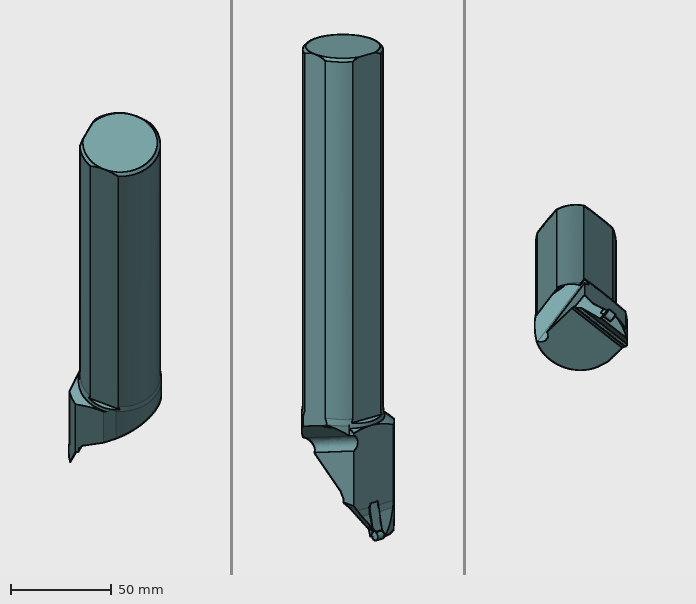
import cadquery as cq
import math

length = 254.0
shank_radius = 20.0
top_chamfer = 1.5
flat_x = 17.8
flat_y = 18.5
flat_bottom = 62.7
runout_slope = 0.3
shank_bottom = 64.8
margin = 12.7

head_radius = 20.5
corner_radius = 25.7
head_x = 20.8
head_y = 21.0
front_face_end = 0.8
back_start = 6.9
head_top = 60.0
shoulder_drop = 2.8
rake_y = 11.2

relief_top = 49.5
relief_heel_x = -10.7
relief_heel_z = 25.5
step_x = -13.0
step_top = 21.8
step_bottom = 19.3

blade_bottom = 1.3
bend_top = 17.3
bend_bottom = 13.7
bend_x = -21.0
blade_tip_x = -25.1
blade_thickness = 5.3
bevel_top = 20.0

gullet_top = 57.2
gullet_depth = 2.5
gullet_height = 8.1
gullet_slope = 0.28

insert_front = -4.8
nose_back = -0.5
body_back = 1.0
insert_top = 19.0
insert_corner = 2.3
insert_depth = 2.5
neck_z = 4.8
nose_radius = 2.3


def prism_y(points, y_start, y_end):
    """Extrude an (x, z) polygon from y_start to y_end."""
    sketch = cq.Workplane("XZ", origin=(0, y_end, 0)).polyline(points).close()
    return sketch.extrude(y_end - y_start)


def prism_x(points, x_start, x_end):
    """Extrude a (y, z) polygon from x_start to x_end."""
    sketch = cq.Workplane("YZ", origin=(x_start, 0, 0)).polyline(points).close()
    return sketch.extrude(x_end - x_start)


def make_shank():
    bar = cq.Workplane("XY").workplane(offset=head_top).circle(shank_radius)
    return bar.extrude(length - head_top).faces(">Z").chamfer(top_chamfer)


def blade_face_x(z):
    """X of the leaning outer blade face at height z, below the bend."""
    lean = (blade_tip_x - bend_x) / (bend_bottom - blade_bottom)
    return bend_x + lean * (bend_bottom - z)


def side_profile():
    """The (x, z) side shape of the head and blade, up to the shank."""
    return [
        (-head_x, shank_bottom),
        (-head_x, bend_top),
        (bend_x, bend_bottom),
        (blade_tip_x, blade_bottom),
        (blade_tip_x + blade_thickness, blade_bottom),
        (step_x - (step_bottom - bend_top), bend_top),
        (step_x, step_bottom),
        (step_x, step_top),
        (relief_heel_x, relief_heel_z),
        (head_radius, relief_top),
        (head_radius, shank_bottom),
    ]


def make_plan_block():
    """The head's plan outline, extruded; its -X side is wide enough for the leaning blade."""
    front_corner_x = -math.sqrt(corner_radius**2 - head_y**2)
    back_start_y = -math.sqrt(head_radius**2 - back_start**2)
    rake_corner_x = -math.sqrt(head_radius**2 - rake_y**2)
    corner_middle = corner_radius * math.sqrt(0.5)
    return (
        cq.Workplane("XY")
        .moveTo(-corner_radius, 0)
        .threePointArc((-corner_middle, -corner_middle), (front_corner_x, -head_y))
        .lineTo(front_face_end, -head_y)
        .lineTo(back_start, back_start_y)
        .threePointArc((0, head_radius), (rake_corner_x, rake_y))
        .lineTo(-corner_radius, rake_y)
        .close()
        .extrude(shank_bottom)
    )


def make_shoulder():
    """Turned limit of the head: a steep collar above a shallow cone."""
    return (
        cq.Workplane("XZ")
        .polyline([
            (0, 0),
            (corner_radius + margin, 0),
            (corner_radius + margin, head_top - shoulder_drop),
            (corner_radius, head_top - shoulder_drop),
            (head_x, head_top),
            (shank_radius, shank_bottom),
            (0, shank_bottom),
        ])
        .close()
        .revolve(360, (0, 0, 0), (0, 1, 0))
    )


def make_flat_cutter(distance):
    """Cutter for a flat on the -X side that ends on a sloped ledge."""
    reach = head_x + margin
    runout = flat_bottom - runout_slope * (reach - distance)
    outline = [(-distance, length), (-distance, flat_bottom), (-reach, runout), (-reach, length)]
    cutter = prism_y(outline, -reach, reach)
    above_head = cq.Workplane("XY").box(4 * reach, 4 * reach, length, centered=(True, True, False))
    return cutter.intersect(above_head.translate((0, 0, head_top)))


def make_rake_cutter():
    """Chip gullet with a 45 degree roof and a rounded dip, above the flat rake floor."""
    reach = head_y + margin
    gullet = (
        cq.Workplane("YZ", origin=(-head_x, 0, 0))
        .moveTo(reach, gullet_top + reach - rake_y)
        .lineTo(rake_y, gullet_top)
        .threePointArc(
            (rake_y - gullet_depth, gullet_top - gullet_height / 2),
            (rake_y, gullet_top - gullet_height),
        )
        .lineTo(rake_y, -margin)
        .lineTo(reach, -margin)
        .close()
    )
    path_end = 2 * head_x + margin
    path = cq.Workplane("XZ").moveTo(-head_x, 0).lineTo(
        path_end - head_x, -gullet_slope * path_end)
    return gullet.sweep(path)


def make_bevel_cutter():
    """Cut below the rake floor that slopes down to the nose of the insert."""
    reach = head_y + margin
    return prism_x(
        [
            (rake_y, bevel_top),
            (nose_back, neck_z),
            (nose_back, -margin),
            (reach, -margin),
            (reach, bevel_top),
        ],
        -corner_radius - margin, head_radius + margin,
    )


def make_insert():
    nose_x = nose_radius - corner_radius
    neck_x = blade_face_x(neck_z)
    stem = prism_y(
        [
            (-head_x, insert_top),
            (neck_x, neck_z),
            (nose_x, nose_radius),
            (nose_x + insert_depth / 2, nose_radius),
            (neck_x + insert_depth, neck_z),
            (insert_depth - head_x, insert_top),
        ],
        insert_front, body_back,
    )
    nose = (
        cq.Workplane("XZ", origin=(0, body_back, 0))
        .center(nose_x, nose_radius)
        .circle(nose_radius)
        .extrude(body_back - insert_front)
    )
    bevel_slope = (bevel_top - neck_z) / (rake_y - nose_back)
    body_bottom = neck_z + bevel_slope * (body_back - nose_back)
    outline = prism_x(
        [
            (insert_front, 0),
            (nose_back, 0),
            (nose_back, neck_z),
            (body_back, body_bottom),
            (body_back, insert_top - insert_corner),
            (0, insert_top),
            (insert_front, insert_top),
        ],
        -corner_radius - margin, 0,
    )
    return stem.union(nose).intersect(outline)


def make_holder(insert):
    reach = head_y + margin
    head = make_plan_block().intersect(prism_y(side_profile(), -reach, reach))
    head = head.intersect(make_shoulder())
    head = head.cut(make_rake_cutter()).cut(make_bevel_cutter())
    holder = make_shank().union(head)
    holder = holder.cut(make_flat_cutter(flat_x))
    holder = holder.cut(make_flat_cutter(flat_y).rotate((0, 0, 0), (0, 0, 1), 90))
    back_flat = cq.Workplane("XY").box(4 * reach, reach, length, centered=(True, False, False))
    holder = holder.cut(back_flat.translate((0, flat_y, 0)))
    return holder.cut(insert)


insert = make_insert()
holder = make_holder(insert)
result = cq.Compound.makeCompound([holder.val(), insert.val()])